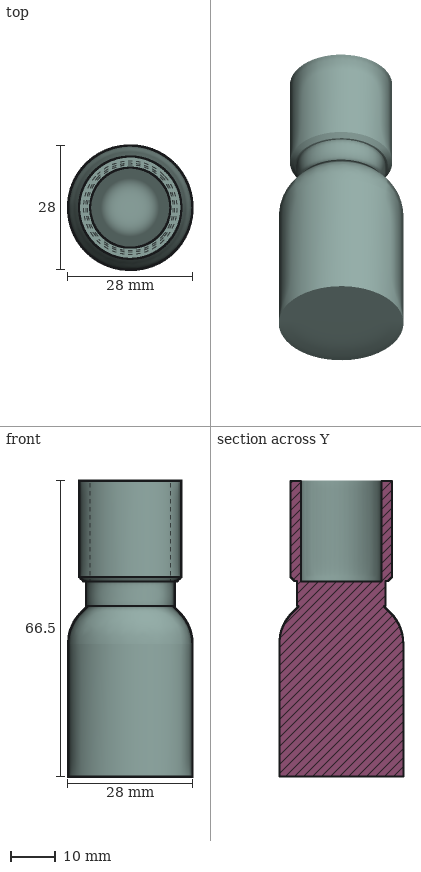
import cadquery as cq
import math

total_height = 66.5
base_diameter = 28.0
neck_diameter = 20.0
collar_diameter = 23.0
bore_diameter = 18.0

base_height = 29.8
neck_bottom = 38.3
collar_bottom = 43.9
collar_chamfer = 1.0

shoulder_radius = 10.0
shoulder_sweep = math.radians(45)

base_radius = base_diameter / 2
neck_radius = neck_diameter / 2
collar_radius = collar_diameter / 2
shoulder_center_radius = base_radius - shoulder_radius
shoulder_top_radius = shoulder_center_radius + shoulder_radius * math.cos(shoulder_sweep)
shoulder_top = base_height + shoulder_radius * math.sin(shoulder_sweep)
cone_top_radius = shoulder_top_radius - (neck_bottom - shoulder_top) * math.tan(shoulder_sweep)

bore_depth = total_height - collar_bottom


def make_body():
    """Solid of revolution: base, rounded shoulder, cone, neck and collar."""
    half_sweep = shoulder_sweep / 2
    arc_middle = (
        shoulder_center_radius + shoulder_radius * math.cos(half_sweep),
        base_height + shoulder_radius * math.sin(half_sweep),
    )
    arc_end = (shoulder_top_radius, shoulder_top)
    profile = (
        cq.Workplane("XZ")
        .lineTo(base_radius, 0)
        .lineTo(base_radius, base_height)
        .threePointArc(arc_middle, arc_end)
        .lineTo(cone_top_radius, neck_bottom)
        .lineTo(neck_radius, neck_bottom)
        .lineTo(neck_radius, collar_bottom)
        .lineTo(collar_radius - collar_chamfer, collar_bottom)
        .lineTo(collar_radius, collar_bottom + collar_chamfer)
        .lineTo(collar_radius, total_height)
        .lineTo(0, total_height)
        .close()
    )
    return profile.revolve(360, (0, 0, 0), (0, 1, 0))


def make_bore():
    """Cylinder removed from the top to form the blind bore."""
    return (
        cq.Workplane("XY")
        .workplane(offset=total_height - bore_depth)
        .circle(bore_diameter / 2)
        .extrude(bore_depth)
    )


result = make_body().cut(make_bore())